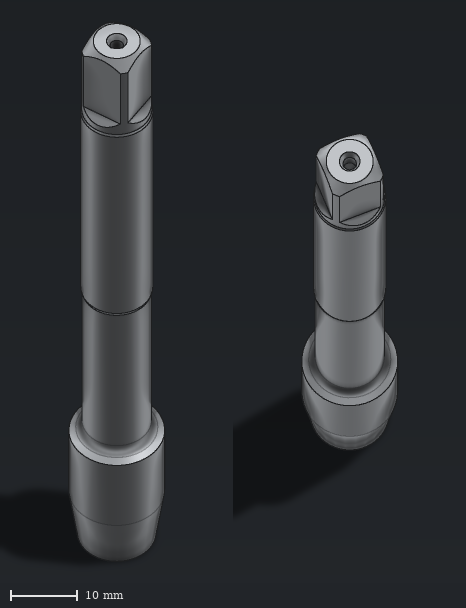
import cadquery as cq
import math

total_length = 110.0
tip_rim = 0.2
taper_top = 9.7
head_top = 23.1
shank_bottom = 54.5
shank_top = 94.9
square_bottom = 97.2

head_diameter = 14.4
tip_diameter = 11.9
neck_diameter = 10.5
shank_diameter = 10.9
drive_diameter = 10.6
top_face_diameter = 7.0
center_hole_diameter = 2.0
countersink_diameter = 3.1

shoulder_slope = 30
blend_radius = 1.9

square_width = 8.2
top_chamfer_height = 1.5
shank_chamfer_height = 0.7
shank_top_chamfer_height = 0.4
center_hole_depth = 3.3
countersink_angle = 60
drill_point_angle = 118


def make_head():
    """Cutting head: a plain cylinder with a tapered lead and a slightly pointed end face."""
    return (
        cq.Workplane("XZ")
        .lineTo(tip_diameter / 2, tip_rim)
        .lineTo(head_diameter / 2, taper_top)
        .lineTo(head_diameter / 2, head_top)
        .lineTo(0, head_top)
        .close()
        .revolve(360, (0, 0), (0, 1))
    )


def turned_shank():
    """Turned blank of the shank, from the shoulder up to the drive end."""
    neck_radius = neck_diameter / 2
    shank_radius = shank_diameter / 2
    drive_radius = drive_diameter / 2
    slope = math.radians(shoulder_slope)
    blend_start_radius = neck_radius + blend_radius * (1 - math.sin(slope))
    blend_start = head_top + (head_diameter / 2 - blend_start_radius) * math.tan(slope)
    blend_end = blend_start + blend_radius * math.cos(slope)
    middle_angle = (math.pi / 2 - slope) / 2
    blend_middle = (
        neck_radius + blend_radius * (1 - math.cos(middle_angle)),
        blend_end - blend_radius * math.sin(middle_angle),
    )
    return (
        cq.Workplane("XZ")
        .moveTo(0, head_top)
        .lineTo(head_diameter / 2, head_top)
        .lineTo(blend_start_radius, blend_start)
        .threePointArc(blend_middle, (neck_radius, blend_end))
        .lineTo(neck_radius, shank_bottom)
        .lineTo(shank_radius, shank_bottom + shank_chamfer_height)
        .lineTo(shank_radius, shank_top - shank_top_chamfer_height)
        .lineTo(drive_radius, shank_top)
        .lineTo(drive_radius, total_length - top_chamfer_height)
        .lineTo(top_face_diameter / 2, total_length)
        .lineTo(0, total_length)
        .close()
        .revolve(360, (0, 0), (0, 1))
    )


def flat_cutter():
    """Cutter for one flat of the square, with a 45 degree run-out at its foot."""
    inner = square_width / 2
    outer = head_diameter / 2
    return (
        cq.Workplane("XZ")
        .moveTo(inner, total_length)
        .lineTo(inner, square_bottom)
        .lineTo(outer, square_bottom - (outer - inner))
        .lineTo(outer, total_length)
        .close()
        .extrude(head_diameter / 2, both=True)
    )


def center_hole():
    """Blind center hole with a conical mouth and a drill point, in the drive end."""
    hole_radius = center_hole_diameter / 2
    mouth_radius = countersink_diameter / 2
    mouth_depth = (mouth_radius - hole_radius) / math.tan(math.radians(countersink_angle / 2))
    bottom = total_length - center_hole_depth
    point_depth = hole_radius / math.tan(math.radians(drill_point_angle / 2))
    return (
        cq.Workplane("XZ")
        .moveTo(0, bottom - point_depth)
        .lineTo(hole_radius, bottom)
        .lineTo(hole_radius, total_length - mouth_depth)
        .lineTo(mouth_radius, total_length)
        .lineTo(0, total_length)
        .close()
        .revolve(360, (0, 0), (0, 1))
    )


def make_shank():
    """Shank with neck, square drive and center hole."""
    shank = turned_shank()
    for angle in range(0, 360, 90):
        shank = shank.cut(flat_cutter().rotate((0, 0, 0), (0, 0, 1), angle))
    return shank.cut(center_hole())


head = make_head()
shank = make_shank()
result = cq.Compound.makeCompound([head.val(), shank.val()])